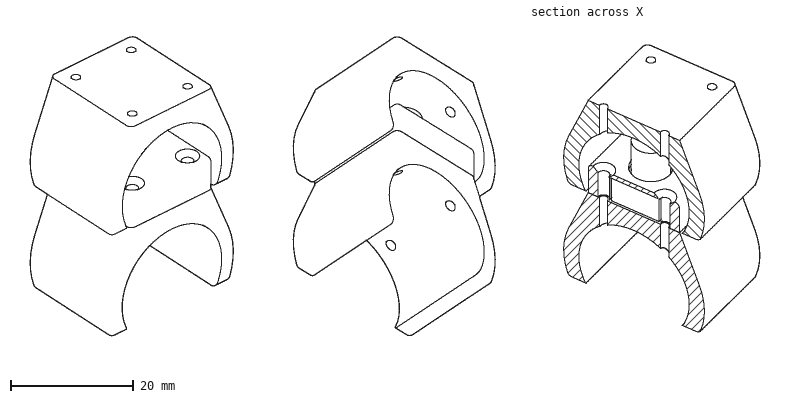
import cadquery as cq
import math

width = 20.0
clip_height = 20.0
clip_top_depth = 18.0
bore_radius = 10.8
outer_radius = 13.9
crown = 4.0
edge_radius = 1.0

screw_inset = 3.0
clip_hole_diameter = 1.55
block_hole_diameter = 2.1
countersink_diameter = 4.0
countersink_angle = 90.0

block_height = 6.2
cover_thickness = 1.0

button_x = -2.0
stem_diameter = 6.5
stem_projection = 5.8
flange_size = 9.3
pocket_length = 10.8
button_clearance = 0.4

screw_points = [
    (sx * (width / 2 - screw_inset), sy * (clip_top_depth / 2 - screw_inset))
    for sx in (-1, 1)
    for sy in (-1, 1)
]


def make_clip(base_z):
    """Open tube clip with its bore along X and its feet at base_z."""
    top_y = clip_top_depth / 2
    axis_z = clip_height - crown - bore_radius
    top_rise = clip_height - axis_z

    tangent_angle = math.atan2(top_rise, top_y) - math.acos(outer_radius / math.hypot(top_y, top_rise))
    tangent_y = outer_radius * math.cos(tangent_angle)
    tangent_z = axis_z + outer_radius * math.sin(tangent_angle)
    foot_y = math.sqrt(outer_radius**2 - axis_z**2)

    body = (
        cq.Workplane("YZ")
        .moveTo(-top_y, clip_height)
        .lineTo(top_y, clip_height)
        .lineTo(tangent_y, tangent_z)
        .threePointArc((outer_radius, axis_z), (foot_y, 0))
        .lineTo(-foot_y, 0)
        .threePointArc((-outer_radius, axis_z), (-tangent_y, tangent_z))
        .close()
        .extrude(width / 2, both=True)
    )

    end_edges = body.faces("<X or >X").edges().vals()
    foot_edges = body.faces("<Z").edges("|X").vals()
    rounded_edges = [edge for edge in end_edges if edge.Center().z < clip_height] + foot_edges
    body = body.newObject(rounded_edges).fillet(edge_radius)

    bore = cq.Workplane("YZ").center(0, axis_z).circle(bore_radius).extrude(width / 2, both=True)
    holes = cq.Workplane("XY").pushPoints(screw_points).circle(clip_hole_diameter / 2).extrude(clip_height)
    return body.cut(bore).cut(holes).translate((0, 0, base_z))


def make_block(base_z):
    """Rounded mounting block with countersunk screw holes and a pocket below a stem hole for the button."""
    block = cq.Workplane("XY").box(width, clip_top_depth, block_height, centered=(True, True, False))
    block = block.edges("|Z or >Z").fillet(edge_radius)
    block = (
        block.faces(">Z")
        .workplane(origin=(0, 0, block_height))
        .pushPoints(screw_points)
        .cskHole(block_hole_diameter, countersink_diameter, countersink_angle)
    )
    pocket_width = flange_size + 2 * button_clearance
    pocket = (
        cq.Workplane("XY", origin=(button_x, 0, 0))
        .rect(pocket_length, pocket_width)
        .extrude(block_height - cover_thickness)
    )
    stem_hole = (
        cq.Workplane("XY", origin=(button_x, 0, 0))
        .circle(stem_diameter / 2 + button_clearance)
        .extrude(block_height)
    )
    return block.cut(pocket).cut(stem_hole).translate((0, 0, base_z))


def make_button(base_z):
    """Round stem on a square flange that fills the height of the block pocket."""
    flange_height = block_height - cover_thickness
    flange = (
        cq.Workplane("XY", origin=(button_x, 0, 0))
        .rect(flange_size, flange_size)
        .extrude(flange_height)
    )
    stem = (
        cq.Workplane("XY", origin=(button_x, 0, flange_height))
        .circle(stem_diameter / 2)
        .extrude(cover_thickness + stem_projection)
    )
    return flange.union(stem).translate((0, 0, base_z))


clips = [make_clip(level * clip_height) for level in range(2)]
block = make_block(clip_height)
button = make_button(clip_height)

result = cq.Compound.makeCompound([*(clip.val() for clip in clips), block.val(), button.val()])